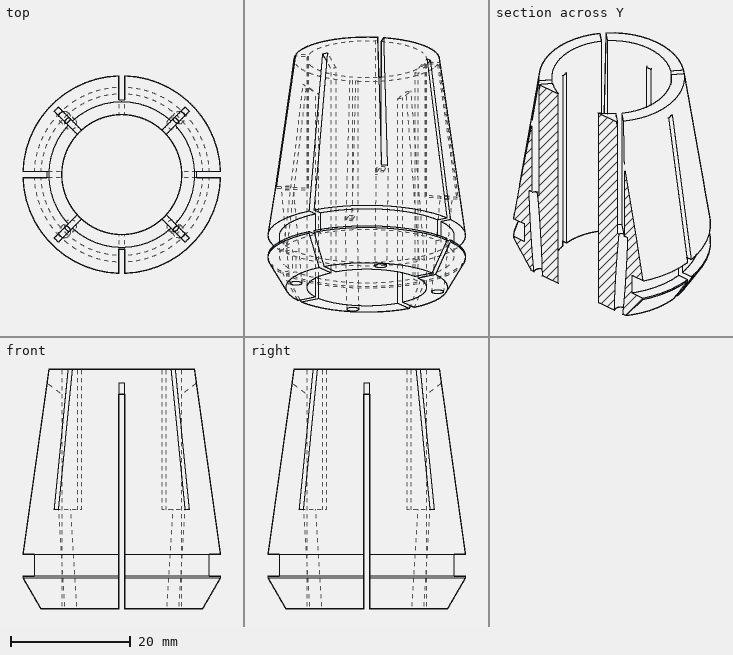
import math

import cadquery as cq

height = 40.0
max_radius = 16.5
bore_radius = 10.0
clamp_angle = 8.0
nose_angle = 30.0
groove_radius = 14.6
rim_bottom = 5.2
groove_bottom = 5.5
groove_top = 9.1

slot_width = 1.0
slot_count = 4
nose_slot_roof_outside = 37.7
nose_slot_roof_inside = 35.8
top_slot_floor = 16.6

hole_diameter = 2.0
hole_top_radius = 13.5
hole_bottom_radius = 12.05


def clamp_cone_radius(z):
    """Outer radius of the clamping cone at height z."""
    return max_radius - (z - groove_top) * math.tan(math.radians(clamp_angle))


def make_body():
    """Revolved collet: nose cone, rim, groove, clamping cone and bore."""
    nose_radius = max_radius - rim_bottom * math.tan(math.radians(nose_angle))
    section = (
        cq.Workplane("XZ")
        .moveTo(bore_radius, 0)
        .lineTo(nose_radius, 0)
        .lineTo(max_radius, rim_bottom)
        .lineTo(max_radius, groove_bottom)
        .lineTo(groove_radius, groove_bottom)
        .lineTo(groove_radius, groove_top)
        .lineTo(max_radius, groove_top)
        .lineTo(clamp_cone_radius(height), height)
        .lineTo(bore_radius, height)
        .close()
    )
    return section.revolve(360, (0, 0, 0), (0, 1, 0))


def make_nose_slot():
    """Slot along +X, open at the nose end, with a roof that rises outward."""
    roof_radius = clamp_cone_radius(nose_slot_roof_outside)
    roof_slope = (nose_slot_roof_outside - nose_slot_roof_inside) / (roof_radius - bore_radius)
    outer_end = max_radius + slot_width
    inner_end = bore_radius - slot_width
    profile = [
        (inner_end, 0),
        (outer_end, 0),
        (outer_end, nose_slot_roof_outside + roof_slope * (outer_end - roof_radius)),
        (inner_end, nose_slot_roof_inside - roof_slope * (bore_radius - inner_end)),
    ]
    return cq.Workplane("XZ").polyline(profile).close().extrude(slot_width / 2, both=True)


def make_top_slot():
    """Slot along +X, open at the top, with a flat floor and a leaning hole below it."""
    slot = cq.Workplane("XY").box(
        max_radius, slot_width, height - top_slot_floor, centered=(False, True, False)
    ).translate((0, 0, top_slot_floor))

    lean = cq.Vector(hole_top_radius - hole_bottom_radius, 0, top_slot_floor)
    overrun = 0.1
    start = cq.Vector(hole_bottom_radius, 0, 0) - lean * overrun
    length = lean.Length * (1 + 2 * overrun)
    hole = cq.Workplane(cq.Solid.makeCylinder(hole_diameter / 2, length, start, lean))
    below_floor = cq.Workplane("XY").box(
        2 * max_radius, 2 * max_radius, top_slot_floor, centered=(True, True, False)
    )
    return slot.union(hole.intersect(below_floor))


def cut_around_axis(body, cutter, first_angle):
    """Cut equally spaced copies of the cutter around the Z axis."""
    for i in range(slot_count):
        angle = first_angle + i * 360 / slot_count
        body = body.cut(cutter.rotate((0, 0, 0), (0, 0, 1), angle))
    return body


result = make_body()
result = cut_around_axis(result, make_nose_slot(), 0)
result = cut_around_axis(result, make_top_slot(), 180 / slot_count)